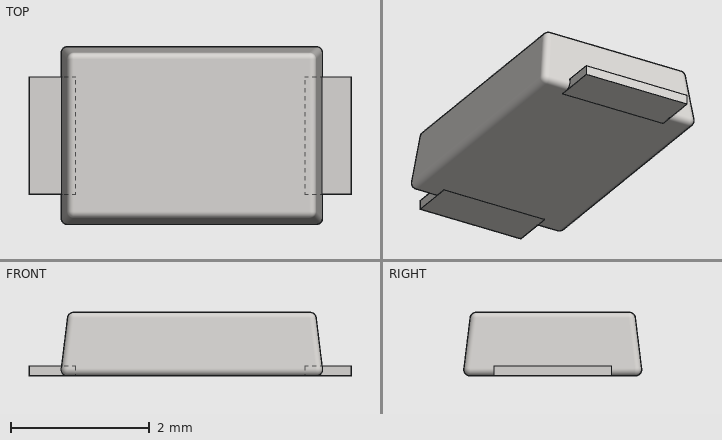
import cadquery as cq
import math

overall_length = 4.65
housing_length = 3.775
housing_width = 2.57
housing_height = 0.92

housing_offset_x = 0.025

draft_angle = 7.0
edge_radius = 0.095

lead_width = 1.695
lead_thickness = 0.145
lead_embedment = 0.232
lead_length = (overall_length - housing_length) / 2 + lead_embedment

draft = math.radians(draft_angle)
rounding_loss = edge_radius * (math.tan(draft) + 1 / math.cos(draft) - 1)
base_length = housing_length + 2 * rounding_loss
base_width = housing_width + 2 * rounding_loss


def make_lead(side):
    """Flat lead at one end; side is -1 for the -X end and +1 for the +X end."""
    center_x = side * (overall_length - lead_length) / 2
    return (
        cq.Workplane("XY")
        .box(lead_length, lead_width, lead_thickness, centered=(True, True, False))
        .translate((center_x, 0, 0))
    )


def make_housing(leads):
    """Drafted block with every edge rounded and a matching recess for each lead."""
    housing = (
        cq.Workplane("XY")
        .center(housing_offset_x, 0)
        .rect(base_length, base_width)
        .extrude(housing_height, taper=draft_angle)
        .edges()
        .fillet(edge_radius)
    )
    for lead in leads:
        housing = housing.cut(lead)
    return housing


leads = [make_lead(side) for side in (-1, 1)]
housing = make_housing(leads)

result = cq.Compound.makeCompound([housing.val(), *[lead.val() for lead in leads]])